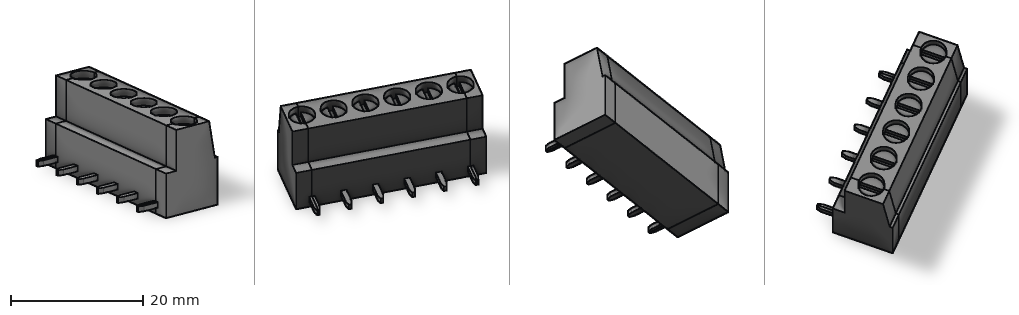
import cadquery as cq
import math

pole_count = 6
pitch = 5.0
length = pole_count * pitch
height = 13.8
body_depth = 9.8
pin_length = 3.5
overlap = 1.0

front_step_depth = 1.95
front_step_height = 7.2
back_step_depth = 0.5
back_step_height = 7.7
back_slope_angle = 10.0
back_slope_run = (height - back_step_height) * math.tan(math.radians(back_slope_angle))

well_diameter = 4.0
well_depth = 1.2
screw_from_back = 4.5
slot_width = 0.8
slot_depth = 0.8

pin_width = 0.9
pin_tip_width = pin_width / 2
pin_taper_length = 0.8
pin_thickness = 0.9
pin_bottom = 1.1

front = 0.0
back = front + body_depth
screw_y = back - screw_from_back
pole_positions = [(index + 0.5) * pitch for index in range(pole_count)]

left_joint = pole_positions[0]
right_joint = pole_positions[-1]


def make_housing():
    """Stepped profile with a sloping back, extruded along X."""
    top_back = back - back_step_depth - back_slope_run
    return (
        cq.Workplane("YZ")
        .moveTo(front, 0)
        .lineTo(back, 0)
        .lineTo(back, back_step_height)
        .lineTo(back - back_step_depth, back_step_height)
        .lineTo(top_back, height)
        .lineTo(front + front_step_depth, height)
        .lineTo(front + front_step_depth, front_step_height)
        .lineTo(front, front_step_height)
        .close()
        .extrude(length)
    )


def make_screw_recess(x):
    """Round well down to the screw head, with the driver slot across the head."""
    head_z = height - well_depth
    well = (
        cq.Workplane("XY", origin=(x, screw_y, head_z))
        .circle(well_diameter / 2)
        .extrude(well_depth)
    )
    head = (
        cq.Workplane("XY", origin=(x, screw_y, head_z - slot_depth))
        .circle(well_diameter / 2)
        .extrude(slot_depth)
    )
    slot = (
        cq.Workplane("XY", origin=(x, screw_y, head_z - slot_depth))
        .rect(slot_width, well_diameter)
        .extrude(slot_depth)
        .intersect(head)
    )
    return well.union(slot)


def make_pin(x):
    """Flat pin whose sides taper towards the tip."""
    tip = front - pin_length
    taper_start = tip + pin_taper_length
    return (
        cq.Workplane("XY", origin=(x, 0, pin_bottom))
        .moveTo(-pin_width / 2, front + overlap)
        .lineTo(-pin_width / 2, taper_start)
        .lineTo(-pin_tip_width / 2, tip)
        .lineTo(pin_tip_width / 2, tip)
        .lineTo(pin_width / 2, taper_start)
        .lineTo(pin_width / 2, front + overlap)
        .close()
        .extrude(pin_thickness)
    )


def make_section(strip, x_start, x_end):
    """Stretch of the terminal strip between two X positions."""
    stretch = cq.Workplane("XY", origin=(x_start, front - pin_length, 0)).box(
        x_end - x_start, body_depth + pin_length, height, centered=False
    )
    return strip.intersect(stretch).solids()


terminal_strip = make_housing()
for pole_x in pole_positions:
    terminal_strip = terminal_strip.cut(make_screw_recess(pole_x))
    terminal_strip = terminal_strip.union(make_pin(pole_x))

left_end = make_section(terminal_strip, 0, left_joint)
middle = make_section(terminal_strip, left_joint, right_joint)
right_end = make_section(terminal_strip, right_joint, length)

result = cq.Compound.makeCompound([left_end.val(), middle.val(), right_end.val()])